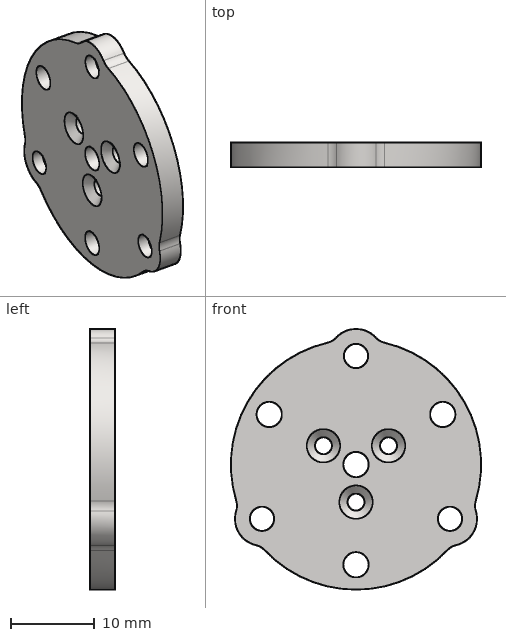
import cadquery as cq
import math

thickness = 3.0
disc_radius = 15.0

ear_angles = (90, 210, 330)
ear_distance = 13.0
overall_height = 31.25
ear_radius = overall_height - disc_radius - ear_distance
ear_fillet_radius = 2.0
ear_hole_diameter = 2.88

ear_countersink_diameter = 6.0
ear_countersink_depth = (ear_countersink_diameter - ear_hole_diameter) / 2

plain_angles = (30, 150, 270)
plain_distance = 12.0
plain_hole_diameter = 3.0

countersink_distance = 4.5
countersink_hole_diameter = 2.0
countersink_diameter = 4.0
countersink_angle = 90

tolerance = 0.003


def polar_points(distance, angles):
    """Points at one distance from the plate centre."""
    return [
        (distance * math.cos(math.radians(a)), distance * math.sin(math.radians(a)))
        for a in angles
    ]


def plate_cylinders(points, radius):
    """Cylinders spanning the plate from the front face (Y = 0) to the back."""
    return cq.Workplane("XZ").pushPoints(points).circle(radius).extrude(-thickness)


def back_countersink(x, z):
    """Cone that narrows from the back face down to the ear hole."""
    return cq.Solid.makeCone(
        ear_countersink_diameter / 2,
        ear_hole_diameter / 2,
        ear_countersink_depth,
        pnt=cq.Vector(x, thickness, z),
        dir=cq.Vector(0, -1, 0),
    )


def is_ear_corner(x, z):
    """True where an ear outline crosses the disc rim."""
    on_rim = abs(math.hypot(x, z) - disc_radius) < tolerance
    on_ear = any(abs(math.dist((x, z), centre) - ear_radius) < tolerance for centre in ear_centres)
    return on_rim and on_ear


def front_face(plate):
    """Sketch plane on the front face, centred on the disc."""
    return plate.faces("<Y").workplane(origin=(0, 0, 0))


ear_centres = polar_points(ear_distance, ear_angles)
plain_centres = [(0, 0)] + polar_points(plain_distance, plain_angles)
countersink_centres = polar_points(countersink_distance, plain_angles)

result = plate_cylinders([(0, 0)], disc_radius)
result = result.union(plate_cylinders(ear_centres, ear_radius))

corner_edges = [
    edge for edge in result.edges("|Y").vals() if is_ear_corner(edge.Center().x, edge.Center().z)
]
result = result.newObject(corner_edges).fillet(ear_fillet_radius)

result = result.cut(plate_cylinders(ear_centres, ear_hole_diameter / 2))
for x, z in ear_centres:
    result = result.cut(cq.Workplane(back_countersink(x, z)))
result = result.cut(plate_cylinders(plain_centres, plain_hole_diameter / 2))
result = front_face(result).pushPoints(countersink_centres).cskHole(
    countersink_hole_diameter, countersink_diameter, countersink_angle
)